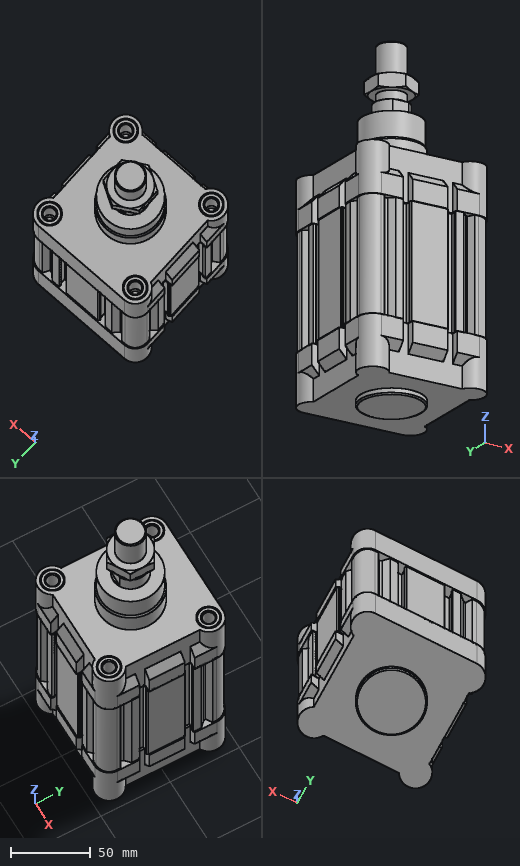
import cadquery as cq
import math


cap_width = 93.0
cap_height = 36.0
recess_plane = 41.05
screw_offset = 36.0
cap_post_radius = cap_width / 2 - screw_offset

mid_pad_half_width = 12.9
side_pad_inner_edge = 19.9
pad_face_height = 14.6
pad_height = 20.6

barrel_length = 81.0
barrel_width = 91.5
barrel_corner_radius = barrel_width / 2 - screw_offset

slot_inner_edge = 14.1
slot_outer_edge = 19.4
slot_undercut = 0.7
slot_floor = 39.5
inner_lip_depth = 1.8
outer_lip_depth = 2.2
slot_edge_chamfer = 0.8

groove_inner_edge = 25.1
groove_outer_edge = 33.3
groove_knee = 28.8
groove_root = 30.6
groove_knee_depth = groove_knee - groove_inner_edge
groove_depth = 4.4

collar_diameter = 45.0
collar_height = 15.3
neck_diameter = 43.0
neck_height = 34.5
collar_cone_height = 1.5
bottom_collar_height = 4.0
bottom_collar_chamfer = 1.0

screw_diameter = 15.0
screw_recess_diameter = 15.8
screw_rim_chamfer = (screw_recess_diameter - screw_diameter) / 2
screw_hole_diameter = 8.38
screw_hole_mouth = 10.0
screw_hole_depth = 20.0
screw_hole_root = 6.0

rod_diameter = 25.0
rod_shoulder_height = 46.0
rod_flat_width = 22.0
rod_flat_length = 10.8
thread_diameter = 20.0
thread_root_diameter = 18.38
thread_length = 40.0
thread_chamfer = (thread_diameter - thread_root_diameter) / 2

nut_sides = 6
nut_width = 30.0
nut_height = 10.0
nut_bottom_height = 52.8
nut_chamfer_angle = 20.0

barrel_bottom = cap_height
barrel_top = barrel_bottom + barrel_length
body_top = barrel_top + cap_height
neck_top = body_top + neck_height
rod_shoulder = body_top + rod_shoulder_height

SIDE_ANGLES = (0, 90, 180, 270)
PADDED_SIDE_ANGLES = (-90, 0, 90)
Z_AXIS = ((0, 0, 0), (0, 0, 1))


def side_pad(inner, outer):
    """Pad on the -Y side of a cap, from X = inner to outer, its barrel end on Z = 0, sloping in above."""
    outer_plane = cap_width / 2
    return (
        cq.Workplane("YZ", origin=(inner, 0, 0))
        .moveTo(-recess_plane, 0)
        .lineTo(-outer_plane, 0)
        .lineTo(-outer_plane, pad_face_height)
        .lineTo(-recess_plane, pad_height)
        .close()
        .extrude(outer - inner)
    )


def end_cap():
    """Cap with its barrel end on Z = 0: recessed and padded on three sides, plain on the +Y side."""
    block = cq.Workplane("XY").box(
        2 * recess_plane, 2 * recess_plane, cap_height, centered=(True, True, False)
    )
    posts = (
        cq.Workplane("XY")
        .rect(2 * screw_offset, 2 * screw_offset, forConstruction=True)
        .vertices()
        .circle(cap_post_radius)
        .extrude(cap_height)
    )
    plain_side = cq.Workplane("XY").box(
        2 * screw_offset, cap_width / 2, cap_height, centered=(True, False, False)
    )
    cap = block.union(posts).union(plain_side)
    for angle in PADDED_SIDE_ANGLES:
        for inner, outer in (
            (-screw_offset, -side_pad_inner_edge),
            (-mid_pad_half_width, mid_pad_half_width),
            (side_pad_inner_edge, screw_offset),
        ):
            cap = cap.union(side_pad(inner, outer).rotate(*Z_AXIS, angle))
    return cap


def sensor_slot():
    """Undercut slot at +X on the -Y side of the barrel."""
    face = barrel_width / 2
    return (
        cq.Workplane("XY")
        .moveTo(slot_inner_edge - slot_edge_chamfer, -face)
        .lineTo(slot_inner_edge, -face + slot_edge_chamfer)
        .lineTo(slot_inner_edge, -face + inner_lip_depth)
        .lineTo(slot_inner_edge - slot_undercut, -face + inner_lip_depth)
        .lineTo(slot_inner_edge - slot_undercut, -slot_floor)
        .lineTo(slot_outer_edge + slot_undercut, -slot_floor)
        .lineTo(slot_outer_edge + slot_undercut, -face + outer_lip_depth)
        .lineTo(slot_outer_edge, -face + outer_lip_depth)
        .lineTo(slot_outer_edge, -face)
        .close()
        .extrude(barrel_length)
    )


def corner_groove():
    """Tapered groove at +X on the -Y side of the barrel."""
    face = barrel_width / 2
    return (
        cq.Workplane("XY")
        .moveTo(groove_inner_edge, -face)
        .lineTo(groove_knee, -face + groove_knee_depth)
        .lineTo(groove_root, -face + groove_depth)
        .lineTo(groove_outer_edge, -face)
        .close()
        .extrude(barrel_length)
    )


def barrel():
    """Rounded square profile with two slots and two grooves on each side, its lower end on Z = 0."""
    profile = (
        cq.Workplane("XY")
        .box(barrel_width, barrel_width, barrel_length, centered=(True, True, False))
        .edges("|Z")
        .fillet(barrel_corner_radius)
    )
    for cutter in (sensor_slot(), corner_groove()):
        for angle in SIDE_ANGLES:
            profile = profile.cut(cutter.rotate(*Z_AXIS, angle))
            profile = profile.cut(cutter.mirror("YZ").rotate(*Z_AXIS, angle))
    return profile


def top_collar():
    """Collar with a cone up to the narrower neck, standing on Z = 0."""
    return (
        cq.Workplane("XZ")
        .lineTo(collar_diameter / 2, 0)
        .lineTo(collar_diameter / 2, collar_height)
        .lineTo(neck_diameter / 2, collar_height + collar_cone_height)
        .lineTo(neck_diameter / 2, neck_height)
        .lineTo(0, neck_height)
        .close()
        .revolve()
    )


def bottom_collar():
    """Chamfered collar hanging below Z = 0."""
    return (
        cq.Workplane("XY")
        .circle(collar_diameter / 2)
        .extrude(-bottom_collar_height)
        .faces("<Z")
        .chamfer(bottom_collar_chamfer)
    )


def screw_rim_groove():
    """V groove between a flush screw head and its recess, its open side on Z = 0."""
    root = screw_diameter / 2
    return (
        cq.Workplane("XZ")
        .moveTo(root - screw_rim_chamfer, 0)
        .lineTo(root, -screw_rim_chamfer)
        .lineTo(root + screw_rim_chamfer, 0)
        .close()
        .revolve(360, (0, 0, 0), (0, 1, 0))
    )


def screw_hole():
    """Hole in a screw head with a chamfered mouth on Z = 0 and a tapered, flat-bottomed end."""
    mouth_chamfer = (screw_hole_mouth - screw_hole_diameter) / 2
    end_taper = (screw_hole_diameter - screw_hole_root) / 2
    return (
        cq.Workplane("XZ")
        .lineTo(screw_hole_mouth / 2, 0)
        .lineTo(screw_hole_diameter / 2, -mouth_chamfer)
        .lineTo(screw_hole_diameter / 2, -screw_hole_depth)
        .lineTo(screw_hole_root / 2, -screw_hole_depth - end_taper)
        .lineTo(0, -screw_hole_depth - end_taper)
        .close()
        .revolve()
    )


def make_housing():
    cap = end_cap()
    housing = (
        barrel().translate((0, 0, barrel_bottom))
        .union(cap.translate((0, 0, barrel_top)))
        .union(cap.mirror("XY").translate((0, 0, barrel_bottom)))
        .union(top_collar().translate((0, 0, body_top)))
        .union(bottom_collar())
    )
    for cutter in (screw_rim_groove(), screw_hole()):
        for x in (-screw_offset, screw_offset):
            for y in (-screw_offset, screw_offset):
                housing = housing.cut(cutter.translate((x, y, body_top)))
    rod_bore = (
        cq.Workplane("XY", origin=(0, 0, barrel_top))
        .circle(rod_diameter / 2)
        .extrude(neck_top - barrel_top)
    )
    return housing.cut(rod_bore)


def make_rod():
    """Rod from the barrel end of the top cap to the thread tip, with wrench flats below the shoulder."""
    shank = (
        cq.Workplane("XY", origin=(0, 0, barrel_top))
        .circle(rod_diameter / 2)
        .extrude(rod_shoulder - barrel_top)
    )
    flat_zone = (
        cq.Workplane("XY", origin=(0, 0, rod_shoulder - rod_flat_length))
        .rect(rod_diameter, rod_diameter)
        .rect(rod_diameter, rod_flat_width)
        .extrude(rod_flat_length)
    )
    thread = (
        cq.Workplane("XY", origin=(0, 0, rod_shoulder))
        .circle(thread_diameter / 2)
        .extrude(thread_length)
        .faces("<Z or >Z")
        .chamfer(thread_chamfer)
    )
    return shank.cut(flat_zone).union(thread)


def make_nut():
    """Hexagon nut with flats facing +X and -X and its corners coned off at both ends."""
    half_side_angle = math.pi / nut_sides
    corner_radius = nut_width / 2 / math.cos(half_side_angle)
    corner_drop = (corner_radius - nut_width / 2) * math.tan(math.radians(nut_chamfer_angle))
    hexagon = (
        cq.Workplane("XY")
        .polygon(nut_sides, 2 * corner_radius)
        .extrude(nut_height)
        .rotate(*Z_AXIS, math.degrees(half_side_angle))
    )
    coned_blank = (
        cq.Workplane("XZ")
        .lineTo(nut_width / 2, 0)
        .lineTo(corner_radius, corner_drop)
        .lineTo(corner_radius, nut_height - corner_drop)
        .lineTo(nut_width / 2, nut_height)
        .lineTo(0, nut_height)
        .close()
        .revolve()
    )
    thread_hole = cq.Workplane("XY").circle(thread_diameter / 2).extrude(nut_height)
    nut = hexagon.intersect(coned_blank).cut(thread_hole)
    return nut.translate((0, 0, body_top + nut_bottom_height))


housing = make_housing()
rod = make_rod()
lock_nut = make_nut()
result = cq.Compound.makeCompound([housing.val(), rod.val(), lock_nut.val()])